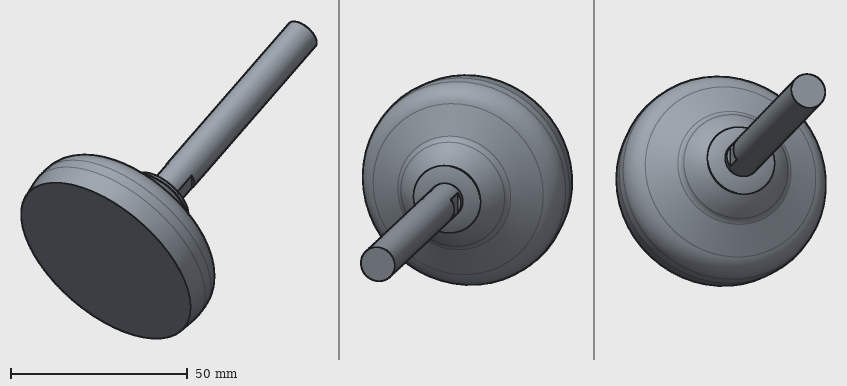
import cadquery as cq
import math

TOTAL_LENGTH = 98.0

FLOOR_RADIUS = 29.2
RIM_RADIUS = 30.0
RIM_TOP_RADIUS = 29.8
RIM_BOTTOM = 6.0
RIM_TOP = 9.2
SHOULDER_RADIUS = 25.1
SHOULDER_HEIGHT = 15.7
CONE_TOP_RADIUS = 16.7
CONE_TOP_HEIGHT = 19.8
DOME_EDGE_RADIUS = 15.3
DOME_EDGE_HEIGHT = 21.3
DOME_SPHERE_RADIUS = 19.4
BASE_HEIGHT = 26.3

SHAFT_RADIUS = 5.0
COLLAR_SEAT_RADIUS = 9.2
COLLAR_RADIUS = 9.9
COLLAR_CROWN_RADIUS = 7.4
COLLAR_CROWN_HEIGHT = 27.8
COLLAR_EDGE_HEIGHT = 26.95
COLLAR_TOP = 28.1
FLATS_WIDTH = 8.0
FLATS_BOTTOM = 30.0
FLATS_LENGTH = 7.0


def revolve_about_y(profile):
    """Turn a closed radius-height outline once around the Y axis."""
    return profile.close().revolve(360, (0, 0, 0), (0, 1, 0))


def make_base():
    """Rounded foot with a conical shoulder blending into a flat-topped dome."""
    dome_centre = DOME_EDGE_HEIGHT - math.sqrt(DOME_SPHERE_RADIUS**2 - DOME_EDGE_RADIUS**2)
    dome_top_radius = math.sqrt(DOME_SPHERE_RADIUS**2 - (BASE_HEIGHT - dome_centre) ** 2)
    dome_middle_height = (DOME_EDGE_HEIGHT + BASE_HEIGHT) / 2
    dome_middle_radius = math.sqrt(DOME_SPHERE_RADIUS**2 - (dome_middle_height - dome_centre) ** 2)

    profile = (
        cq.Workplane("XY")
        .lineTo(FLOOR_RADIUS, 0)
        .lineTo(RIM_RADIUS, RIM_BOTTOM)
        .lineTo(RIM_TOP_RADIUS, RIM_TOP)
        .tangentArcPoint((SHOULDER_RADIUS, SHOULDER_HEIGHT), relative=False)
        .lineTo(CONE_TOP_RADIUS, CONE_TOP_HEIGHT)
        .tangentArcPoint((DOME_EDGE_RADIUS, DOME_EDGE_HEIGHT), relative=False)
        .threePointArc((dome_middle_radius, dome_middle_height), (dome_top_radius, BASE_HEIGHT))
        .lineTo(0, BASE_HEIGHT)
    )
    return revolve_about_y(profile)


def make_stem():
    """Round shaft with a crowned collar resting on the base and two wrench flats."""
    profile = (
        cq.Workplane("XY")
        .moveTo(0, BASE_HEIGHT)
        .lineTo(COLLAR_SEAT_RADIUS, BASE_HEIGHT)
        .lineTo(COLLAR_RADIUS, COLLAR_EDGE_HEIGHT)
        .threePointArc((COLLAR_CROWN_RADIUS, COLLAR_CROWN_HEIGHT), (SHAFT_RADIUS, COLLAR_TOP))
        .lineTo(SHAFT_RADIUS, TOTAL_LENGTH)
        .lineTo(0, TOTAL_LENGTH)
    )
    stem = revolve_about_y(profile)

    cutter_depth = SHAFT_RADIUS
    flats_middle = FLATS_BOTTOM + FLATS_LENGTH / 2
    for side in (-1, 1):
        cutter_x = side * (FLATS_WIDTH + cutter_depth) / 2
        cutter = cq.Workplane("XY").box(cutter_depth, FLATS_LENGTH, 2 * SHAFT_RADIUS)
        stem = stem.cut(cutter.translate((cutter_x, flats_middle, 0)))
    return stem


base = make_base()
stem = make_stem()

result = cq.Compound.makeCompound([base.val(), stem.val()])